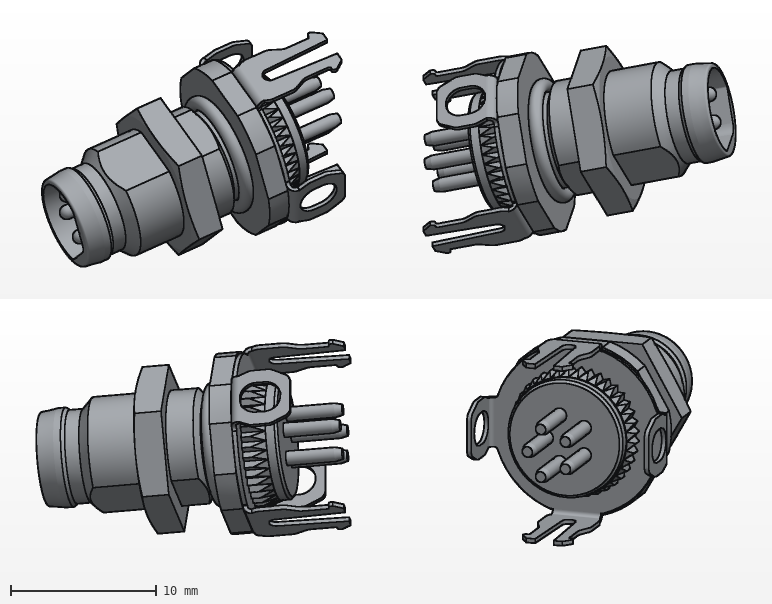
import cadquery as cq
import math


TOTAL_LENGTH = 21.2

TIP_FILLET = 0.17
TIP_RADIUS = 3.29
HEAD_RADIUS = 6.9 / 2
TAPER_END_Y = 1.25
HEAD_END_Y = 1.75
NECK_RADIUS = 6.5 / 2
NECK_START_Y = 2.01
NECK_END_Y = 3.0
BARREL_RADIUS = 4.0
BARREL_START_Y = NECK_END_Y + BARREL_RADIUS - NECK_RADIUS
BARREL_END_Y = 11.15
UNDERCUT_RADIUS = 3.35
UNDERCUT_START_Y = 11.53
BARREL_FLAT_HALF_HEIGHT = 3.5

FLANGE_FRONT_Y = 12.7
FLANGE_REAR_Y = 14.23
FLANGE_RADIUS = 6.25
FLANGE_ACROSS_FLATS = 12.0
RING_CORD_DIAMETER = 1.0

COLLAR_FRONT_Y = 7.19
COLLAR_THICKNESS = 2.05
COLLAR_ACROSS_FLATS = 10.0
COLLAR_CHAMFER_ANGLE = 15.0

HUB_RADIUS = 4.2
HUB_REAR_Y = 17.05
HUB_CHAMFER = 0.2
KNURL_TEETH = 40
KNURL_TIP_RADIUS = 4.58
KNURL_ROOT_RADIUS = 4.25
KNURL_TAPER_START_Y = 15.18
KNURL_REAR_Y = 16.22

SOCKET_RADIUS = 2.93
SOCKET_DEPTH = 5.3
SOCKET_TAPER = 1.2
KEY_FLAT_DISTANCE = 2.4
KEY_FLAT_ANGLE = 30.0
KEY_CORNER_FILLET = 0.95
SOCKET_EDGE_FILLET = 0.15

PIN_DIAMETER = 1.0
PIN_FRONT_Y = 0.5
PIN_REAR_Y = 20.95
PIN_REAR_CHAMFER_LENGTH = 0.5
PIN_REAR_CHAMFER_DEPTH = 0.13
PIN_POSITIONS = [(1.34, 0.0), (0.35, 1.7), (0.35, -1.7), (-1.45, 0.98), (-1.45, -0.98)]

SHEET = 0.32
PLATE_RADIUS = 6.1
PLATE_REAR_Y = FLANGE_REAR_Y + SHEET
BEND_RADIUS = 0.61
BEND_END_Y = FLANGE_REAR_Y + BEND_RADIUS
BEND_HALF_WIDTH = 1.75
PLATE_CORNER_FILLET = 0.25
FORK_REACH = 12.8 / 2
EYE_REACH = 13.3 / 2

FORK_HALF_WIDTH = 1.95
FORK_WIDE_START_Y = 15.22
FORK_WIDE_END_Y = 17.15
PRONG_HALF_WIDTH = 1.45
PRONG_START_Y = 18.2
FORK_SIDE_FILLET = 0.95
BARB_ROOT_FILLET = 0.13
BARB_CORNER_FILLET = 0.2
BARB_HALF_WIDTH = 1.82
BARB_BASE_Y = 20.2
BARB_WIDEST_Y = 20.52
PRONG_TIP_HALF_WIDTH = 1.31
FORK_SLOT_MOUTH_HALF_WIDTH = 0.68
FORK_SLOT_END_RADIUS = 0.49
FORK_SLOT_BOTTOM_Y = 15.73

EYE_HALF_WIDTH = 2.08
EYE_WIDE_START_Y = 15.62
EYE_WIDE_END_Y = 17.07
EYE_END_HALF_WIDTH = 1.42
EYE_END_Y = 18.45
EYE_CORNER_FILLET = 0.6
EYE_SIDE_FILLET = 0.75
EYE_HOLE_LENGTH = 2.86
EYE_HOLE_WIDTH = 2.27
EYE_HOLE_CENTER_Y = 16.35


def cross_section(y):
    """Workplane across the axis at y; a negative extrusion goes rearward (+Y)."""
    return cq.Workplane("XZ", origin=(0, y, 0))


def revolve_about_axis(profile):
    return profile.close().revolve(360, (0, 0, 0), (0, 1, 0))


def cylinder(radius, start_y, end_y):
    return cross_section(start_y).circle(radius).extrude(start_y - end_y)


def hexagon(across_flats, start_y, end_y):
    """Hexagonal prism with corners on the X axis and flats facing +Z and -Z."""
    sides = 6
    corner_diameter = across_flats / math.cos(math.pi / sides)
    return cross_section(start_y).polygon(sides, corner_diameter).extrude(start_y - end_y)


def barrel():
    bevel = TIP_FILLET * (1 - math.sqrt(0.5))
    turned = revolve_about_axis(
        cq.Workplane("XY")
        .moveTo(0, 0)
        .lineTo(TIP_RADIUS - TIP_FILLET, 0)
        .threePointArc((TIP_RADIUS - bevel, bevel), (TIP_RADIUS, TIP_FILLET))
        .lineTo(HEAD_RADIUS, TAPER_END_Y)
        .lineTo(HEAD_RADIUS, HEAD_END_Y)
        .lineTo(NECK_RADIUS, NECK_START_Y)
        .lineTo(NECK_RADIUS, NECK_END_Y)
        .lineTo(BARREL_RADIUS, BARREL_START_Y)
        .lineTo(BARREL_RADIUS, BARREL_END_Y)
        .lineTo(UNDERCUT_RADIUS, UNDERCUT_START_Y)
        .lineTo(UNDERCUT_RADIUS, FLANGE_FRONT_Y)
        .lineTo(0, FLANGE_FRONT_Y)
    )
    flats = cq.Workplane("XY").box(
        2 * BARREL_RADIUS, FLANGE_FRONT_Y, 2 * BARREL_FLAT_HALF_HEIGHT, centered=(True, False, True)
    )
    return turned.intersect(flats)


def socket():
    """Tapered, keyed recess: a round bore cut off by two flats that meet in a rounded corner on +X."""
    half_angle = math.radians(KEY_FLAT_ANGLE)
    corner_x = KEY_FLAT_DISTANCE / math.cos(half_angle)
    end_angle = half_angle + math.acos(KEY_FLAT_DISTANCE / SOCKET_RADIUS)
    end_x = SOCKET_RADIUS * math.cos(end_angle)
    end_z = SOCKET_RADIUS * math.sin(end_angle)
    fillet_setback = KEY_CORNER_FILLET * math.tan(half_angle)
    tangent_x = corner_x - fillet_setback * math.sin(half_angle)
    tangent_z = fillet_setback * math.cos(half_angle)
    fillet_mid_x = corner_x - KEY_CORNER_FILLET * (1 / math.cos(half_angle) - 1)
    recess = (
        cross_section(0)
        .moveTo(end_x, end_z)
        .threePointArc((-SOCKET_RADIUS, 0), (end_x, -end_z))
        .lineTo(tangent_x, -tangent_z)
        .threePointArc((fillet_mid_x, 0), (tangent_x, tangent_z))
        .close()
        .extrude(-SOCKET_DEPTH, taper=SOCKET_TAPER)
    )
    for side in (-1, 1):
        meeting_edge = cq.selectors.NearestToPointSelector((end_x, SOCKET_DEPTH / 2, side * end_z))
        recess = recess.edges(meeting_edge).fillet(SOCKET_EDGE_FILLET)
    return recess


def flange():
    disc = cylinder(FLANGE_RADIUS, FLANGE_FRONT_Y, FLANGE_REAR_Y)
    return disc.intersect(hexagon(FLANGE_ACROSS_FLATS, FLANGE_FRONT_Y, FLANGE_REAR_Y))


def hub():
    rear = cylinder(HUB_RADIUS, FLANGE_REAR_Y, HUB_REAR_Y)
    return rear.faces(">Y").chamfer(HUB_CHAMFER)


def knurl():
    """Star-shaped prism of V teeth whose tips are turned down to the root radius at the rear."""
    half_pitch = math.pi / KNURL_TEETH
    outline = []
    for step in range(2 * KNURL_TEETH):
        radius = KNURL_TIP_RADIUS if step % 2 else KNURL_ROOT_RADIUS
        outline.append((radius * math.cos(step * half_pitch), radius * math.sin(step * half_pitch)))
    star = cross_section(FLANGE_REAR_Y).polyline(outline).close().extrude(FLANGE_REAR_Y - KNURL_REAR_Y)
    envelope = revolve_about_axis(
        cq.Workplane("XY")
        .moveTo(0, FLANGE_REAR_Y)
        .lineTo(KNURL_TIP_RADIUS, FLANGE_REAR_Y)
        .lineTo(KNURL_TIP_RADIUS, KNURL_TAPER_START_Y)
        .lineTo(KNURL_ROOT_RADIUS, KNURL_REAR_Y)
        .lineTo(0, KNURL_REAR_Y)
    )
    return star.intersect(envelope)


def pin(x, z):
    """Contact with a hemispherical front tip and a tapered solder end."""
    radius = PIN_DIAMETER / 2
    dome = radius * math.sqrt(0.5)
    shape = revolve_about_axis(
        cq.Workplane("XY")
        .moveTo(0, PIN_FRONT_Y)
        .threePointArc((dome, PIN_FRONT_Y + radius - dome), (radius, PIN_FRONT_Y + radius))
        .lineTo(radius, PIN_REAR_Y - PIN_REAR_CHAMFER_LENGTH)
        .lineTo(radius - PIN_REAR_CHAMFER_DEPTH, PIN_REAR_Y)
        .lineTo(0, PIN_REAR_Y)
    )
    return shape.translate((x, 0, z))


def shield_plate():
    """Flat disc trimmed at the fork tabs, with filleted strips running out to the eye tabs."""
    eye_bend_start = EYE_REACH - BEND_RADIUS
    fork_bend_start = FORK_REACH - BEND_RADIUS
    fillet_z = BEND_HALF_WIDTH + PLATE_CORNER_FILLET
    fillet_x = math.sqrt((PLATE_RADIUS + PLATE_CORNER_FILLET) ** 2 - fillet_z ** 2)
    disc = cylinder(PLATE_RADIUS, FLANGE_REAR_Y, PLATE_REAR_Y)
    strip = cross_section(FLANGE_REAR_Y).rect(2 * eye_bend_start, 2 * fillet_z).extrude(-SHEET)
    corners = (
        cross_section(FLANGE_REAR_Y)
        .rect(2 * fillet_x, 2 * fillet_z, forConstruction=True)
        .vertices()
        .circle(PLATE_CORNER_FILLET)
        .extrude(-SHEET)
    )
    trim = cross_section(FLANGE_REAR_Y).rect(2 * EYE_REACH, 2 * fork_bend_start).extrude(-SHEET)
    return disc.union(strip.cut(corners)).intersect(trim)


def bend(reach):
    """Quarter bend from the plate up to a tab whose outer face is at Z = reach."""
    start_z = reach - BEND_RADIUS
    inner_radius = BEND_RADIUS - SHEET
    half = math.sqrt(0.5)
    return (
        cq.Workplane("YZ", origin=(-BEND_HALF_WIDTH, 0, 0))
        .moveTo(FLANGE_REAR_Y, start_z)
        .threePointArc(
            (BEND_END_Y - BEND_RADIUS * half, start_z + BEND_RADIUS * half), (BEND_END_Y, reach)
        )
        .lineTo(BEND_END_Y, reach - SHEET)
        .threePointArc(
            (BEND_END_Y - inner_radius * half, start_z + inner_radius * half), (PLATE_REAR_Y, start_z)
        )
        .close()
        .extrude(2 * BEND_HALF_WIDTH)
    )


def mirrored_sheet(right_side, reach):
    """Flat sheet below Z = reach from the right half of an outline symmetric about X = 0."""
    left_side = [(-x, y) for x, y in reversed(right_side)]
    return (
        cq.Workplane("XY", origin=(0, 0, reach - SHEET))
        .polyline(right_side + left_side)
        .close()
        .extrude(SHEET)
    )


def edges_at(half_width, y, reach):
    """Selector for the through-thickness edges at X = +/-half_width and the given Y."""
    margin = 0.02
    selector = None
    for side in (-1, 1):
        x = side * half_width
        box = cq.selectors.BoxSelector(
            (x - margin, y - margin, reach - SHEET), (x + margin, y + margin, reach)
        )
        selector = box if selector is None else selector + box
    return selector


def fork_tab():
    sheet = mirrored_sheet(
        [
            (BEND_HALF_WIDTH, BEND_END_Y),
            (FORK_HALF_WIDTH, FORK_WIDE_START_Y),
            (FORK_HALF_WIDTH, FORK_WIDE_END_Y),
            (PRONG_HALF_WIDTH, PRONG_START_Y),
            (PRONG_HALF_WIDTH, BARB_BASE_Y),
            (BARB_HALF_WIDTH, BARB_BASE_Y),
            (BARB_HALF_WIDTH, BARB_WIDEST_Y),
            (PRONG_TIP_HALF_WIDTH, TOTAL_LENGTH),
        ],
        FORK_REACH,
    )
    rounded_corners = [
        (FORK_HALF_WIDTH, FORK_WIDE_START_Y, FORK_SIDE_FILLET),
        (FORK_HALF_WIDTH, FORK_WIDE_END_Y, FORK_SIDE_FILLET),
        (PRONG_HALF_WIDTH, PRONG_START_Y, FORK_SIDE_FILLET),
        (PRONG_HALF_WIDTH, BARB_BASE_Y, BARB_ROOT_FILLET),
        (BARB_HALF_WIDTH, BARB_BASE_Y, BARB_CORNER_FILLET),
    ]
    for half_width, y, radius in rounded_corners:
        sheet = sheet.edges(edges_at(half_width, y, FORK_REACH)).fillet(radius)
    slot_arc_y = FORK_SLOT_BOTTOM_Y + FORK_SLOT_END_RADIUS
    slot = (
        cq.Workplane("XY", origin=(0, 0, FORK_REACH - SHEET))
        .moveTo(-FORK_SLOT_MOUTH_HALF_WIDTH, TOTAL_LENGTH)
        .lineTo(-FORK_SLOT_END_RADIUS, slot_arc_y)
        .threePointArc((0, FORK_SLOT_BOTTOM_Y), (FORK_SLOT_END_RADIUS, slot_arc_y))
        .lineTo(FORK_SLOT_MOUTH_HALF_WIDTH, TOTAL_LENGTH)
        .close()
        .extrude(SHEET)
    )
    return sheet.cut(slot).union(bend(FORK_REACH))


def eye_tab():
    sheet = mirrored_sheet(
        [
            (BEND_HALF_WIDTH, BEND_END_Y),
            (EYE_HALF_WIDTH, EYE_WIDE_START_Y),
            (EYE_HALF_WIDTH, EYE_WIDE_END_Y),
            (EYE_END_HALF_WIDTH, EYE_END_Y),
        ],
        EYE_REACH,
    )
    rounded_corners = [
        (EYE_HALF_WIDTH, EYE_WIDE_START_Y, EYE_SIDE_FILLET),
        (EYE_HALF_WIDTH, EYE_WIDE_END_Y, EYE_SIDE_FILLET),
        (EYE_END_HALF_WIDTH, EYE_END_Y, EYE_CORNER_FILLET),
    ]
    for half_width, y, radius in rounded_corners:
        sheet = sheet.edges(edges_at(half_width, y, EYE_REACH)).fillet(radius)
    hole = (
        cq.Workplane("XY", origin=(0, EYE_HOLE_CENTER_Y, EYE_REACH - SHEET))
        .slot2D(EYE_HOLE_LENGTH, EYE_HOLE_WIDTH, 90)
        .extrude(SHEET)
    )
    return sheet.cut(hole).union(bend(EYE_REACH))


def shield():
    plate = shield_plate()
    for turn in (0, 180):
        plate = plate.union(fork_tab().rotate((0, 0, 0), (0, 1, 0), turn))
        plate = plate.union(eye_tab().rotate((0, 0, 0), (0, 1, 0), turn + 90))
    return plate


def hex_collar():
    """Hexagonal collar around the barrel with a turned front chamfer."""
    rear_y = COLLAR_FRONT_Y + COLLAR_THICKNESS
    slope = math.tan(math.radians(COLLAR_CHAMFER_ANGLE))
    face_radius = COLLAR_ACROSS_FLATS / 2
    envelope = revolve_about_axis(
        cq.Workplane("XY")
        .moveTo(0, COLLAR_FRONT_Y)
        .lineTo(face_radius, COLLAR_FRONT_Y)
        .lineTo(face_radius + COLLAR_THICKNESS / slope, rear_y)
        .lineTo(0, rear_y)
    )
    return hexagon(COLLAR_ACROSS_FLATS, COLLAR_FRONT_Y, rear_y).intersect(envelope)


def connector():
    body = barrel().union(hex_collar()).cut(socket())
    for feature in (flange(), hub(), knurl(), shield()):
        body = body.union(feature)
    for x, z in PIN_POSITIONS:
        body = body.union(pin(x, z))
    return body


def o_ring():
    """Ring seated in the undercut against the flange, touching both along a circle."""
    cord_radius = RING_CORD_DIAMETER / 2
    ring_radius = UNDERCUT_RADIUS + cord_radius
    plane = cq.Plane(
        origin=(ring_radius, FLANGE_FRONT_Y - cord_radius, 0), xDir=(-1, 0, 0), normal=(0, 0, 1)
    )
    return cq.Workplane(plane).circle(cord_radius).revolve(360, (ring_radius, 0, 0), (ring_radius, 1, 0))


result = cq.Compound.makeCompound([connector().val(), o_ring().val()])